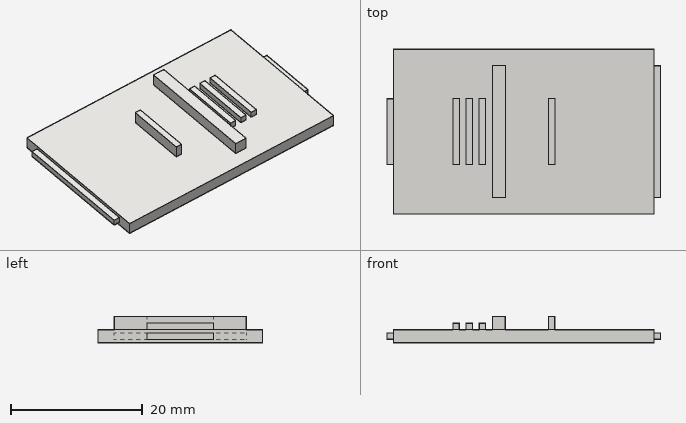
import cadquery as cq

overall_length = 41.5
plate_width = 25.0
plate_thickness = 2.0

small_section = 1.0
short_length = 10.0
long_length = 2 * short_length

plate_length = overall_length - 2 * small_section
plate_left = -plate_length / 2
low_rib_count = 3
low_rib_pitch = 2 * small_section
first_low_rib_offset = 9.0
wide_rib_offset = 15.0
wide_rib_thickness = 2.0
far_rib_offset = 23.5
tall_rib_height = 2.0


def block(left, bottom, length, width, height):
    """Box centred on Y, with its -X face at left and its underside at bottom."""
    return cq.Workplane("XY").box(length, width, height, centered=(False, True, False)).translate(
        (left, 0, bottom)
    )


def rib(offset, thickness, width, height):
    """Rib on top of the plate, offset from the plate's -X edge."""
    return block(plate_left + offset, plate_thickness, thickness, width, height)


result = block(plate_left, 0, plate_length, plate_width, plate_thickness)

tab_bottom = (plate_thickness - small_section) / 2
left_tab = block(-overall_length / 2, tab_bottom, small_section, short_length, small_section)
right_tab = block(plate_length / 2, tab_bottom, small_section, long_length, small_section)
result = result.union(left_tab).union(right_tab)

for index in range(low_rib_count):
    offset = first_low_rib_offset + index * low_rib_pitch
    result = result.union(rib(offset, small_section, short_length, small_section))

result = result.union(rib(wide_rib_offset, wide_rib_thickness, long_length, tall_rib_height))
result = result.union(rib(far_rib_offset, small_section, short_length, tall_rib_height))